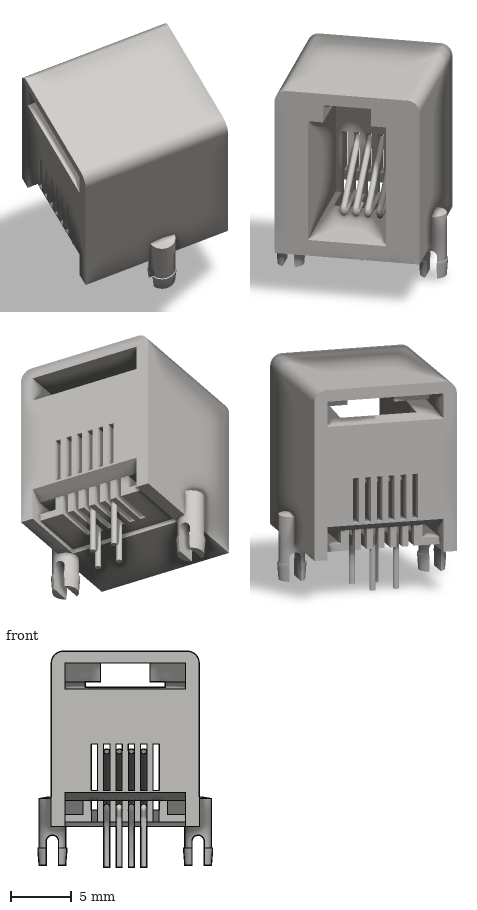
import cadquery as cq
import math


WIDTH = 12.2
DEPTH = 13.0
TOP_Z = 17.8
BOTTOM_Z = 3.35
TOP_EDGE_RADIUS = 1.0
ROOF_THICKNESS = 1.0
REAR_Y = -DEPTH / 2
MOUTH_Y = DEPTH / 2
INNER_WIDTH = 9.95

PLUG_WIDTH = 6.55
PLUG_FLOOR_Z = 4.73
PLUG_TOP_Z = 15.27
PLUG_REAR_Y = -4.41
LATCH_WIDTH = 4.04
CEILING_Z = TOP_Z - ROOF_THICKNESS

WINDOW_SILL_Z = 14.67
WINDOW_SLOPE = 0.075
WINDOW_BACK_Y = -2.14
RAMP_END_Y = REAR_Y + (PLUG_TOP_Z - WINDOW_SILL_Z) / WINDOW_SLOPE

WIRE_DIAMETER = 0.5
WIRE_PITCH = 1.01
WIRE_COUNT = 4
FRONT_LEG_Y = -1.8
REAR_LEG_Y = -4.33
LEG_BEND_RADIUS = 0.43
CONTACT_BEND_RADIUS = 0.27
CONTACT_ANGLE = math.radians(35)
CONTACT_END_Y = -5.16
CONTACT_END_Z = 9.54
WIRE_FLOOR_Z = PLUG_FLOOR_Z + WIRE_DIAMETER / 2

COMB_SETBACK = 1.17
COMB_Y = REAR_Y + COMB_SETBACK
COMB_BOTTOM_Z = 3.74
COMB_BLOCK_WIDTH = 6.98
CORNER_LEDGE_Z = 4.36
RECESS_REAR_Z = 6.15
RECESS_COMB_Z = 5.48
COMB_END_Y = FRONT_LEG_Y + LEG_BEND_RADIUS
RECESS_END_Y = 0.0
SLOT_COUNT = 6
SLOT_BOTTOM_Z = 6.34
SLOT_TOP_Z = 10.15

OVERALL_WIDTH = 14.4
PEG_X = 6.0
PEG_Y = 0.52
PEG_RADIUS = 1.1
PEG_TOP_Z = 5.66
PEG_TIP_Z = 5.8
PEG_TIP_RADIUS = 0.25
PEG_BOTTOM_Z = 0.16
COLLAR_RADIUS = OVERALL_WIDTH / 2 - PEG_X
COLLAR_BOTTOM_Z = 1.42
COLLAR_TOP_Z = 1.6
SPLIT_WIDTH = 1.0
SPLIT_TOP_Z = 2.63


def block(width, y_range, z_range, x=0.0):
    """Box of the given width centred on x, spanning the given Y and Z ranges."""
    (y0, y1), (z0, z1) = y_range, z_range
    return cq.Workplane("XY").box(width, y1 - y0, z1 - z0).translate((x, (y0 + y1) / 2, (z0 + z1) / 2))


def side_profile(points, width):
    """Prism of a (Y, Z) outline, extruded symmetrically along X."""
    return cq.Workplane("YZ").polyline(points).close().extrude(width / 2, both=True)


def row_positions(count):
    """X positions of `count` places at the wire pitch, centred on X = 0."""
    return [(i - (count - 1) / 2) * WIRE_PITCH for i in range(count)]


def shell():
    body = block(WIDTH, (REAR_Y, MOUTH_Y), (BOTTOM_Z, TOP_Z))
    return body.edges("|Y and >Z").fillet(TOP_EDGE_RADIUS)


def plug_cavity():
    depth = (PLUG_REAR_Y, MOUTH_Y)
    plug = block(PLUG_WIDTH, depth, (PLUG_FLOOR_Z, PLUG_TOP_Z))
    latch = block(LATCH_WIDTH, depth, (PLUG_FLOOR_Z, CEILING_Z))
    return plug.union(latch)


def rear_window():
    outline = [
        (REAR_Y, WINDOW_SILL_Z),
        (RAMP_END_Y, PLUG_TOP_Z),
        (WINDOW_BACK_Y, PLUG_TOP_Z),
        (WINDOW_BACK_Y, CEILING_Z),
        (REAR_Y, CEILING_Z),
    ]
    return side_profile(outline, INNER_WIDTH)


def bottom_recess():
    outline = [
        (REAR_Y, BOTTOM_Z),
        (RECESS_END_Y, BOTTOM_Z),
        (RECESS_END_Y, COMB_BOTTOM_Z),
        (COMB_Y, COMB_BOTTOM_Z),
        (COMB_Y, RECESS_COMB_Z),
        (REAR_Y, RECESS_REAR_Z),
    ]
    return side_profile(outline, INNER_WIDTH)


def corner_pockets():
    pocket_width = (INNER_WIDTH - COMB_BLOCK_WIDTH) / 2
    pocket_x = (INNER_WIDTH + COMB_BLOCK_WIDTH) / 4
    pockets = cq.Workplane("XY")
    for x in (-pocket_x, pocket_x):
        pockets = pockets.add(
            block(pocket_width, (COMB_Y, COMB_END_Y), (CORNER_LEDGE_Z, RECESS_COMB_Z), x)
        )
    return pockets.combine()


def comb_slot(x):
    """Slot through the rear wall, joined to a slot through the comb behind the sloped bridge."""
    upper = block(WIRE_DIAMETER, (REAR_Y, PLUG_REAR_Y), (SLOT_BOTTOM_Z, SLOT_TOP_Z), x)
    lower = block(WIRE_DIAMETER, (COMB_Y, COMB_END_Y), (COMB_BOTTOM_Z, SLOT_TOP_Z), x)
    return upper.union(lower)


def peg(x):
    """Round peg with a shallow cone on top, a snap collar and a tapered foot split along Y."""
    outline = [
        (0, PEG_BOTTOM_Z),
        (PEG_RADIUS, PEG_BOTTOM_Z),
        (COLLAR_RADIUS, COLLAR_BOTTOM_Z),
        (COLLAR_RADIUS, COLLAR_TOP_Z),
        (PEG_RADIUS, COLLAR_TOP_Z),
        (PEG_RADIUS, PEG_TOP_Z),
        (PEG_TIP_RADIUS, PEG_TIP_Z),
        (0, PEG_TIP_Z),
    ]
    post = cq.Workplane("XZ").polyline(outline).close().revolve(360, (0, 0), (0, 1))
    arc_z = SPLIT_TOP_Z - SPLIT_WIDTH / 2
    y_range = (-COLLAR_RADIUS, COLLAR_RADIUS)
    split = block(SPLIT_WIDTH, y_range, (PEG_BOTTOM_Z, arc_z))
    arch = cq.Workplane("XZ").center(0, arc_z).circle(SPLIT_WIDTH / 2).extrude(COLLAR_RADIUS, both=True)
    return post.cut(split).cut(arch).translate((x, PEG_Y, 0))


def make_housing():
    housing = shell()
    for cutter in (plug_cavity(), rear_window(), bottom_recess(), corner_pockets()):
        housing = housing.cut(cutter)
    for x in row_positions(SLOT_COUNT):
        housing = housing.cut(comb_slot(x))
    for x in (-PEG_X, PEG_X):
        housing = housing.union(peg(x))
    return housing


def on_circle(center_y, center_z, radius, angle):
    """Point (Y, Z) on a circle, at an angle measured from +Y toward +Z."""
    return (center_y + radius * math.cos(angle), center_z + radius * math.sin(angle))


def make_wire(x, leg_y):
    """Wire: vertical leg, run along the plug floor, then a sprung contact sloping back and up."""
    leg_center = (leg_y + LEG_BEND_RADIUS, WIRE_FLOOR_Z - LEG_BEND_RADIUS)

    bend_start = -math.pi / 2
    bend_end = math.pi / 2 - CONTACT_ANGLE
    bend_z = WIRE_FLOOR_Z + CONTACT_BEND_RADIUS
    contact_rise = CONTACT_END_Z - bend_z - CONTACT_BEND_RADIUS * math.sin(bend_end)
    contact_run = contact_rise / math.tan(CONTACT_ANGLE)
    bend_y = CONTACT_END_Y + contact_run - CONTACT_BEND_RADIUS * math.cos(bend_end)

    path = (
        cq.Workplane("YZ", origin=(x, 0, 0))
        .moveTo(leg_y, 0)
        .lineTo(leg_y, leg_center[1])
        .threePointArc(
            on_circle(*leg_center, LEG_BEND_RADIUS, math.radians(135)),
            (leg_center[0], WIRE_FLOOR_Z),
        )
        .lineTo(bend_y, WIRE_FLOOR_Z)
        .threePointArc(
            on_circle(bend_y, bend_z, CONTACT_BEND_RADIUS, (bend_start + bend_end) / 2),
            on_circle(bend_y, bend_z, CONTACT_BEND_RADIUS, bend_end),
        )
        .lineTo(CONTACT_END_Y, CONTACT_END_Z)
    )
    return cq.Workplane("XY", origin=(x, leg_y, 0)).circle(WIRE_DIAMETER / 2).sweep(path)


housing = make_housing()

wires = []
for index, wire_x in enumerate(row_positions(WIRE_COUNT)):
    leg_row_y = FRONT_LEG_Y if index % 2 == 0 else REAR_LEG_Y
    wires.append(make_wire(wire_x, leg_row_y).val())

result = cq.Compound.makeCompound([housing.val(), *wires])